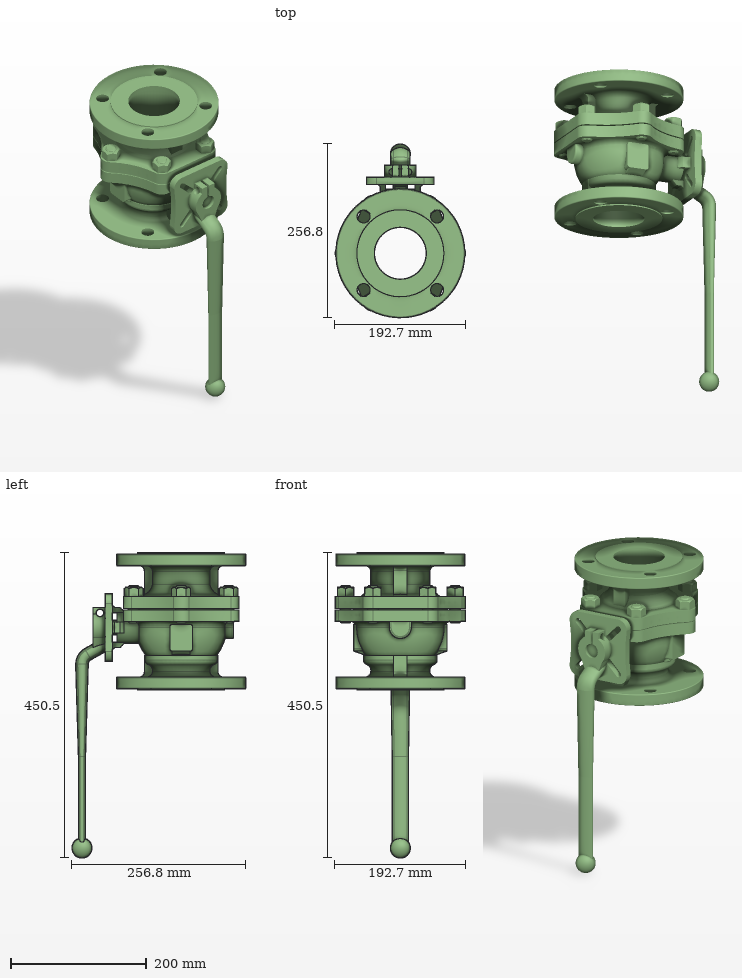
import cadquery as cq
import math

TOTAL_HEIGHT = 450.5

BORE_DIA = 76.0
FLANGE_DIA = 190.5
FLANGE_THICK = 17.5
FLANGE_EDGE_FILLET = 1.5
FACE_DIA = 128.5
FACE_HEIGHT = 2.0
TOP_FLANGE_BASE = 91.0
BOTTOM_FLANGE_TOP = -73.0
FLANGE_HOLE_DIA = 19.0
FLANGE_HOLE_CIRCLE_DIA = 153.0
FLANGE_HOLE_COUNT = 4

NECK_RADIUS = 43.5
NECK_FILLET = 8.0
COLLAR_RADIUS = 54.5
TOP_CONE_START = 63.5
TOP_CONE_MIDDLE = (47.5, 55.0)
TOP_CONE_END = 49.0
TOP_CONE_FOOT = 58.0
COLLAR_TOP = -41.0
COLLAR_BOTTOM = -48.0
COLLAR_SHOULDER = (53.0, -52.0)
BOTTOM_CURVE_START = (48.5, -55.0)
BOTTOM_CURVE_MIDDLE = (44.5, -59.0)
BOWL_RADIUS = 66.5
BOWL_FILLET = 6.8
RIB_WIDTH = 20.3
RIB_FILLET = 7.0

JOINT_BASE = 9.0
JOINT_PLATE_THICK = 18.0
JOINT_GAP = 2.0
GASKET_RADIUS = 70.0
BOLT_CIRCLE_RADIUS = 161.7 / 2
BOLT_COUNT = 6
LOBE_RADIUS = 15.5
WAIST_RADIUS = 116.2
STUD_DIA = 16.0
STUD_OVERHANG = 2.3
STUD_CHAMFER = 2.0
NUT_WIDTH = 24.5
NUT_HEIGHT = 13.5
NUT_CHAMFER = 2.3

PAD_REACH = 69.0
PAD_WIDTH = 34.0
PAD_TOP = 4.5
PAD_BOTTOM = -34.5
PAD_ROOT_BOTTOM = -40.0
PAD_ROOT_REACH = 54.0
PAD_CORNER = 3.5
REAR_BOSS_RADIUS = 16.0
REAR_BOSS_REACH = 77.5
REAR_BOSS_FILLET = 2.5
STEM_BOSS_DIA = 47.0
STEM_BOSS_REACH = 95.0

PLATE_BACK = 101.5
PLATE_THICK = 11.0
PLATE_SLOT_OUTER = 35.0
PLATE_SLOT_INNER = 18.0
PLATE_SLOT_WIDTH = 9.0
PLATE_CORNER_RADIUS = 15.0
PLATE_SIDE_SAG = 2.5
LEG_WIDTH = 16.0
LEG_INNER = 21.5
LEG_OUTER = 29.7
LEG_FLARE = 3.0
LEG_BEND = 90.0
LEG_ROOT = 84.2

STEM_DIA = 21.5
STEM_END = 124.5
HUB_RADIUS = 23.5
HUB_END = 130.0
EAR_WIDTH = 23.5
EAR_TOP = 29.7
SLIT_WIDTH = 4.0
CLAMP_HOLE_DIA = 11.0
CLAMP_HOLE_HEIGHT = 21.5
CLAMP_HOLE_Y = 120.0
HUB_NECK_TOP = -15.0
HUB_NECK_BOTTOM = -29.7
HUB_NECK_TOP_WIDTH = 36.0
HUB_NECK_BOTTOM_WIDTH = 24.5
HANDLE_Y = 146.5
BEND_BOTTOM = -54.0
BEND_RADIUS = 16.9
BEND_ANGLE = 61.0
TAPER_END = -190.0
KNOB_RADIUS = 15.0
WIDE_SECTION = (10.5, 6.5, 14.5, 9.5)
SLIM_SECTION = (9.5, 3.0, 12.0, 5.5)

TOP_FACE = TOP_FLANGE_BASE + FLANGE_THICK + FACE_HEIGHT
BOTTOM_FACE = BOTTOM_FLANGE_TOP - FLANGE_THICK - FACE_HEIGHT
KNOB_Z = TOP_FACE - TOTAL_HEIGHT + KNOB_RADIUS
LOWER_PLATE_TOP = JOINT_BASE + JOINT_PLATE_THICK - JOINT_GAP / 2
UPPER_PLATE_BASE = LOWER_PLATE_TOP + JOINT_GAP
JOINT_TOP = UPPER_PLATE_BASE + JOINT_PLATE_THICK
PLATE_FRONT = PLATE_BACK + PLATE_THICK
ARC_MIDDLE = math.sqrt(0.5)


def disc(radius, bottom, top):
    """Solid cylinder along Z."""
    return cq.Workplane("XY").workplane(offset=bottom).circle(radius).extrude(top - bottom)


def rear_plane(y):
    """Work plane that faces +Y at the given Y; its local axes are -X and Z."""
    return cq.Workplane(cq.Plane((0, y, 0), (-1, 0, 0), (0, 1, 0)))


def rod(radius, start, end):
    """Solid cylinder along Y on the stem axis."""
    return rear_plane(start).circle(radius).extrude(end - start)


def polar(radius, angle):
    return (radius * math.cos(math.radians(angle)), radius * math.sin(math.radians(angle)))



def fillet_middle(corner_r, corner_z, radius, up):
    """Middle point of the concave fillet whose ends lie one radius outward and one radius up or down."""
    rest = radius * (1 - ARC_MIDDLE)
    return (corner_r + rest, corner_z + up * rest)


def top_half():
    """Upper flange, neck and cone, turned about Z."""
    profile = (
        cq.Workplane("XZ")
        .moveTo(0, JOINT_TOP)
        .lineTo(TOP_CONE_FOOT, JOINT_TOP)
        .lineTo(COLLAR_RADIUS, TOP_CONE_END)
        .threePointArc(TOP_CONE_MIDDLE, (NECK_RADIUS, TOP_CONE_START))
        .lineTo(NECK_RADIUS, TOP_FLANGE_BASE - NECK_FILLET)
        .threePointArc(
            fillet_middle(NECK_RADIUS, TOP_FLANGE_BASE, NECK_FILLET, -1),
            (NECK_RADIUS + NECK_FILLET, TOP_FLANGE_BASE),
        )
        .lineTo(0, TOP_FLANGE_BASE)
        .close()
    )
    return profile.revolve(360, (0, 0), (0, 1))


def bottom_half():
    """Lower neck, collar and spherical bowl, turned about Z."""
    bowl_edge = math.sqrt(BOWL_RADIUS**2 - COLLAR_TOP**2)
    bowl_angle = math.degrees(math.asin(COLLAR_TOP / BOWL_RADIUS))
    profile = (
        cq.Workplane("XZ")
        .moveTo(0, BOTTOM_FLANGE_TOP)
        .lineTo(NECK_RADIUS + NECK_FILLET, BOTTOM_FLANGE_TOP)
        .threePointArc(
            fillet_middle(NECK_RADIUS, BOTTOM_FLANGE_TOP, NECK_FILLET, 1),
            (NECK_RADIUS, BOTTOM_FLANGE_TOP + NECK_FILLET),
        )
        .threePointArc(BOTTOM_CURVE_MIDDLE, BOTTOM_CURVE_START)
        .threePointArc(COLLAR_SHOULDER, (COLLAR_RADIUS, COLLAR_BOTTOM))
        .lineTo(COLLAR_RADIUS, COLLAR_TOP)
        .lineTo(bowl_edge, COLLAR_TOP)
        .threePointArc(polar(BOWL_RADIUS, bowl_angle / 2), (BOWL_RADIUS, 0))
        .lineTo(BOWL_RADIUS, JOINT_BASE - BOWL_FILLET)
        .threePointArc(
            fillet_middle(BOWL_RADIUS, JOINT_BASE, BOWL_FILLET, -1),
            (BOWL_RADIUS + BOWL_FILLET, JOINT_BASE),
        )
        .lineTo(0, JOINT_BASE)
        .close()
    )
    return profile.revolve(360, (0, 0), (0, 1))


def end_flange(base):
    """Drilled flange without its raised face."""
    flange = disc(FLANGE_DIA / 2, base, base + FLANGE_THICK).edges().fillet(FLANGE_EDGE_FILLET)
    holes = (
        cq.Workplane("XY")
        .workplane(offset=base)
        .polarArray(FLANGE_HOLE_CIRCLE_DIA / 2, 45, 360, FLANGE_HOLE_COUNT)
        .circle(FLANGE_HOLE_DIA / 2)
        .extrude(FLANGE_THICK)
    )
    return flange.cut(holes)


def rib(flange_z, far_z):
    """Web across the neck along Y, with a fillet on both sides where it meets the flange."""
    up = 1 if far_z > flange_z else -1
    mid_y, mid_z = fillet_middle(COLLAR_RADIUS, flange_z, RIB_FILLET, up)
    foot = COLLAR_RADIUS + RIB_FILLET
    profile = (
        cq.Workplane("YZ")
        .workplane(offset=-RIB_WIDTH / 2)
        .moveTo(-foot, flange_z)
        .lineTo(foot, flange_z)
        .threePointArc((mid_y, mid_z), (COLLAR_RADIUS, flange_z + up * RIB_FILLET))
        .lineTo(COLLAR_RADIUS, far_z)
        .lineTo(-COLLAR_RADIUS, far_z)
        .lineTo(-COLLAR_RADIUS, flange_z + up * RIB_FILLET)
        .threePointArc((-mid_y, mid_z), (-foot, flange_z))
        .close()
    )
    return profile.extrude(RIB_WIDTH)


def joint_plate(base):
    """Six-lobed plate: straight on the +Y and -Y sides, waisted on the other four."""
    lobe_centers = [polar(BOLT_CIRCLE_RADIUS, i * 360 / BOLT_COUNT) for i in range(BOLT_COUNT)]
    plate = cq.Workplane("XY").workplane(offset=base).polyline(lobe_centers).close().extrude(JOINT_PLATE_THICK)
    flat_side = cq.Workplane("XY").workplane(offset=base).rect(
        BOLT_CIRCLE_RADIUS, 2 * (lobe_centers[1][1] + LOBE_RADIUS)
    )
    plate = plate.union(flat_side.extrude(JOINT_PLATE_THICK))

    half_pitch = 180 / BOLT_COUNT
    half_chord = BOLT_CIRCLE_RADIUS * math.sin(math.radians(half_pitch))
    arc_offset = math.sqrt((WAIST_RADIUS + LOBE_RADIUS) ** 2 - half_chord**2)
    arc_center = BOLT_CIRCLE_RADIUS * math.cos(math.radians(half_pitch)) + arc_offset
    touch_share = LOBE_RADIUS / (WAIST_RADIUS + LOBE_RADIUS)
    touch_out = arc_center - arc_offset * (1 - touch_share)
    touch_side = half_chord * (1 - touch_share)
    web = (
        cq.Workplane("XY")
        .workplane(offset=base)
        .polyline([(0, 0), (arc_center - arc_offset, -half_chord), (touch_out, -touch_side)])
        .threePointArc((arc_center - WAIST_RADIUS, 0), (touch_out, touch_side))
        .lineTo(arc_center - arc_offset, half_chord)
        .close()
        .extrude(JOINT_PLATE_THICK)
    )
    for pitch in (0, 2, 3, 5):
        plate = plate.union(web.rotate((0, 0, 0), (0, 0, 1), (2 * pitch + 1) * half_pitch))
    for x, y in lobe_centers:
        plate = plate.union(disc(LOBE_RADIUS, base, base + JOINT_PLATE_THICK).translate((x, y, 0)))
    return plate


def stud_and_nut():
    """Stud through both joint plates with its hexagon nut on top, on the Z axis."""
    nut_top = JOINT_TOP + NUT_HEIGHT
    corner_dia = NUT_WIDTH / math.cos(math.radians(30))
    hexagon = cq.Workplane("XY").workplane(offset=JOINT_TOP).polygon(6, corner_dia).extrude(NUT_HEIGHT)
    hexagon = hexagon.rotate((0, 0, 0), (0, 0, 1), 30)
    rounding = disc(corner_dia / 2, JOINT_TOP, nut_top).faces(">Z").chamfer(NUT_CHAMFER)
    stud = disc(STUD_DIA / 2, JOINT_BASE - STUD_OVERHANG, nut_top + STUD_OVERHANG)
    return stud.faces("<Z or >Z").chamfer(STUD_CHAMFER).union(hexagon.intersect(rounding))


def side_pads():
    """Rectangular pads at both ends of the X axis, each on a sloping foot."""
    pads = (
        cq.Workplane("YZ")
        .workplane(offset=-PAD_REACH)
        .center(0, (PAD_TOP + PAD_BOTTOM) / 2)
        .rect(PAD_WIDTH, PAD_TOP - PAD_BOTTOM)
        .extrude(2 * PAD_REACH)
        .edges("|X")
        .fillet(PAD_CORNER)
    )
    foot_width = PAD_WIDTH - 2 * PAD_CORNER
    foot = (
        cq.Workplane("XZ")
        .workplane(offset=-foot_width / 2)
        .polyline([
            (-PAD_REACH, PAD_BOTTOM),
            (PAD_REACH, PAD_BOTTOM),
            (PAD_ROOT_REACH, PAD_ROOT_BOTTOM),
            (-PAD_ROOT_REACH, PAD_ROOT_BOTTOM),
        ])
        .close()
        .extrude(foot_width)
    )
    return pads.union(foot)


def rear_boss():
    """Rounded boss on the -Y side that runs up to the joint."""
    outline = (
        cq.Workplane("XZ")
        .moveTo(-REAR_BOSS_RADIUS, JOINT_BASE)
        .lineTo(-REAR_BOSS_RADIUS, 0)
        .threePointArc((0, -REAR_BOSS_RADIUS), (REAR_BOSS_RADIUS, 0))
        .lineTo(REAR_BOSS_RADIUS, JOINT_BASE)
        .close()
    )
    boss = outline.extrude(REAR_BOSS_REACH)
    return boss.faces("<Y").edges("not >Z").fillet(REAR_BOSS_FILLET)


def actuator_plate():
    """Square plate with rounded corners, slightly hollow -X and +X sides and four diagonal slots."""
    edge = PLATE_SLOT_OUTER + PLATE_CORNER_RADIUS
    plate = rear_plane(PLATE_BACK).rect(2 * edge, 2 * edge).extrude(PLATE_THICK)
    plate = plate.edges("|Y").fillet(PLATE_CORNER_RADIUS)
    for side in (-1, 1):
        hollow = (
            rear_plane(PLATE_BACK)
            .moveTo(side * edge, -PLATE_SLOT_OUTER)
            .threePointArc((side * (edge - PLATE_SIDE_SAG), 0), (side * edge, PLATE_SLOT_OUTER))
            .close()
            .extrude(PLATE_THICK)
        )
        plate = plate.cut(hollow)
    slot_length = (PLATE_SLOT_OUTER - PLATE_SLOT_INNER) * math.sqrt(2) + PLATE_SLOT_WIDTH
    slot_middle = (PLATE_SLOT_OUTER + PLATE_SLOT_INNER) / 2
    for side_x in (-1, 1):
        for side_z in (-1, 1):
            slot = rear_plane(PLATE_BACK).center(side_x * slot_middle, side_z * slot_middle)
            slot = slot.slot2D(slot_length, PLATE_SLOT_WIDTH, 45 * side_x * side_z)
            plate = plate.cut(slot.extrude(PLATE_THICK))
    return plate


def plate_legs():
    """Four bent legs, on the X and Z axes of the plate, that carry it on the stem boss."""
    boss_radius = STEM_BOSS_DIA / 2
    leg = (
        cq.Workplane("XY")
        .workplane(offset=-LEG_WIDTH / 2)
        .polyline([
            (0, LEG_ROOT),
            (boss_radius, LEG_ROOT),
            (LEG_OUTER, LEG_BEND),
            (LEG_OUTER, PLATE_BACK - LEG_FLARE),
            (LEG_OUTER + LEG_FLARE, PLATE_BACK),
            (LEG_INNER, PLATE_BACK),
            (LEG_INNER, STEM_BOSS_REACH),
            (0, STEM_BOSS_REACH),
        ])
        .close()
        .extrude(LEG_WIDTH)
    )
    legs = cq.Workplane("XY")
    for angle in (0, 90, 180, 270):
        legs = legs.union(leg.rotate((0, 0, 0), (0, 1, 0), angle))
    return legs


def make_housing():
    body = top_half().union(bottom_half())
    body = body.union(end_flange(TOP_FLANGE_BASE))
    body = body.union(end_flange(BOTTOM_FLANGE_TOP - FLANGE_THICK))
    for start in (TOP_FACE - FACE_HEIGHT, BOTTOM_FACE):
        body = body.union(disc(FACE_DIA / 2, start, start + FACE_HEIGHT))
    body = body.union(rib(TOP_FLANGE_BASE, JOINT_TOP))
    body = body.union(rib(BOTTOM_FLANGE_TOP, COLLAR_TOP))

    body = body.union(joint_plate(JOINT_BASE).intersect(disc(FLANGE_DIA, JOINT_BASE, LOWER_PLATE_TOP)))
    body = body.union(joint_plate(UPPER_PLATE_BASE))
    body = body.union(disc(GASKET_RADIUS, JOINT_BASE, JOINT_TOP))
    stud = stud_and_nut()
    for i in range(BOLT_COUNT):
        x, y = polar(BOLT_CIRCLE_RADIUS, i * 360 / BOLT_COUNT)
        body = body.union(stud.translate((x, y, 0)))

    body = body.union(side_pads()).union(rear_boss())
    body = body.union(rod(STEM_BOSS_DIA / 2, 0, STEM_BOSS_REACH))
    body = body.union(plate_legs()).union(actuator_plate())
    body = body.union(rod(STEM_DIA / 2, 0, STEM_END))
    return body.cut(disc(BORE_DIA / 2, BOTTOM_FACE, TOP_FACE))



def lever_hub():
    """Round hub with a slit clamp at the top and a short neck down to the handle."""
    length = HUB_END - PLATE_FRONT
    face = rear_plane(PLATE_FRONT)
    hub = rod(HUB_RADIUS, PLATE_FRONT, HUB_END)
    hub = hub.union(face.center(0, EAR_TOP / 2).rect(EAR_WIDTH, EAR_TOP).extrude(length))
    neck = rear_plane(PLATE_FRONT).polyline([
        (-HUB_NECK_TOP_WIDTH / 2, HUB_NECK_TOP),
        (HUB_NECK_TOP_WIDTH / 2, HUB_NECK_TOP),
        (HUB_NECK_BOTTOM_WIDTH / 2, HUB_NECK_BOTTOM),
        (-HUB_NECK_BOTTOM_WIDTH / 2, HUB_NECK_BOTTOM),
    ])
    return hub.union(neck.close().extrude(length))


def section(plane, sizes):
    """Handle section of four shallow arcs that meet at corners."""
    corner_x, corner_y, crown_x, crown_y = sizes
    return (
        cq.Workplane(plane)
        .moveTo(corner_x, corner_y)
        .threePointArc((0, crown_y), (-corner_x, corner_y))
        .threePointArc((-crown_x, 0), (-corner_x, -corner_y))
        .threePointArc((0, -crown_y), (corner_x, -corner_y))
        .threePointArc((crown_x, 0), (corner_x, corner_y))
        .close()
    )


def handle():
    """Grip that hangs down, bends towards the hub and ends against the actuator plate."""
    bend_plane = cq.Plane((0, HANDLE_Y, BEND_BOTTOM), (1, 0, 0), (0, 0, 1))
    taper_plane = cq.Plane((0, HANDLE_Y, TAPER_END), (1, 0, 0), (0, 0, 1))
    taper = cq.Workplane(obj=cq.Solid.makeLoft(
        [section(bend_plane, WIDE_SECTION).val(), section(taper_plane, SLIM_SECTION).val()]
    ))
    grip = section(taper_plane, SLIM_SECTION).extrude(KNOB_Z - TAPER_END)

    bend = section(bend_plane, WIDE_SECTION).revolve(
        BEND_ANGLE, (0, -BEND_RADIUS), (1, -BEND_RADIUS)
    )
    sine = math.sin(math.radians(BEND_ANGLE))
    cosine = math.cos(math.radians(BEND_ANGLE))
    arm_start = (0, HANDLE_Y - BEND_RADIUS * (1 - cosine), BEND_BOTTOM + BEND_RADIUS * sine)
    arm_plane = cq.Plane(arm_start, (1, 0, 0), (0, -sine, cosine))
    arm = section(arm_plane, WIDE_SECTION).extrude(2 * (arm_start[1] - PLATE_FRONT))
    beyond_plate = cq.Workplane("XY").box(TOTAL_HEIGHT, 2 * PLATE_FRONT, TOTAL_HEIGHT)
    knob = cq.Workplane("XY").sphere(KNOB_RADIUS).translate((0, HANDLE_Y, KNOB_Z))
    return grip.union(taper).union(bend).union(arm.cut(beyond_plate)).union(knob)


def make_lever():
    lever = lever_hub().union(handle())
    lever = lever.cut(rod(STEM_DIA / 2, PLATE_FRONT, HUB_END))
    length = HUB_END - PLATE_FRONT
    slit = rear_plane(PLATE_FRONT).center(0, EAR_TOP / 2).rect(SLIT_WIDTH, EAR_TOP).extrude(length)
    clamp_hole = (
        cq.Workplane("YZ")
        .center(CLAMP_HOLE_Y, CLAMP_HOLE_HEIGHT)
        .circle(CLAMP_HOLE_DIA / 2)
        .extrude(HUB_RADIUS, both=True)
    )
    return lever.cut(slit).cut(clamp_hole)


housing = make_housing()
lever = make_lever()
result = cq.Compound.makeCompound([housing.val(), lever.val()])